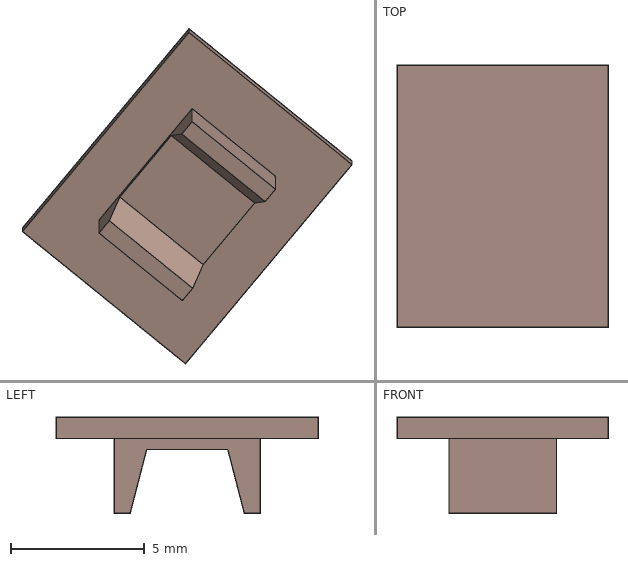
import cadquery as cq

plate_width = 7.9
plate_length = 9.8
plate_thickness = 0.8
total_height = 3.6

bracket_width = 4.04
bracket_length = 5.48
web_thickness = 0.41
leg_tip_thickness = 0.61
leg_root_thickness = 1.225

bracket_height = total_height - plate_thickness
outer_y = bracket_length / 2
tip_y = outer_y - leg_tip_thickness
root_y = outer_y - leg_root_thickness


def make_plate():
    """Flat rectangular plate with its underside at Z = 0."""
    return cq.Workplane("XY").box(
        plate_width, plate_length, plate_thickness, centered=(True, True, False)
    )


def make_bracket():
    """Web and two legs whose inner faces taper towards the tips."""
    profile = [
        (-outer_y, 0),
        (-outer_y, -bracket_height),
        (-tip_y, -bracket_height),
        (-root_y, -web_thickness),
        (root_y, -web_thickness),
        (tip_y, -bracket_height),
        (outer_y, -bracket_height),
        (outer_y, 0),
    ]
    return cq.Workplane("YZ").polyline(profile).close().extrude(bracket_width / 2, both=True)


result = make_plate().union(make_bracket())